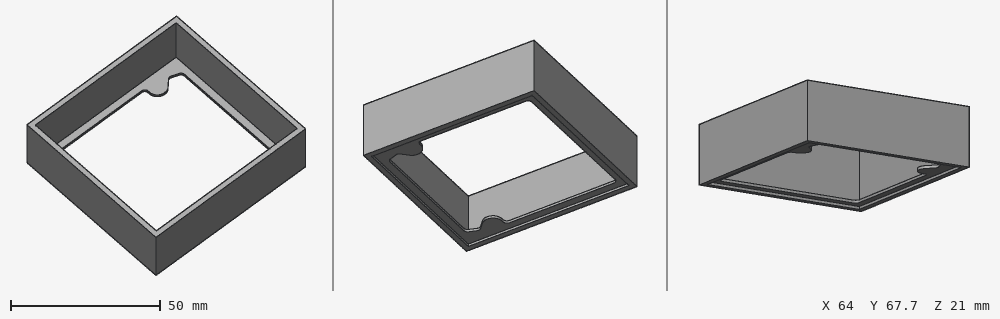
import cadquery as cq
import math

length_x = 64.05
length_y = 67.7
height = 21.0
wall = 2.0

plate_bottom = 1.0
plate_thickness = 1.0

opening_x = 54.7
opening_y = 58.1
corner_radius = 1.5

lobe_radius = 3.6
lobe_center_x = 25.2
lobe_center_y = 18.95

flank_angle = 45.0
end_half_width = 23.9
notch_half_width = 25.6


def make_frame():
    """Rectangular wall, open at the top and the bottom."""
    return (
        cq.Workplane("XY")
        .rect(length_x, length_y)
        .rect(length_x - 2 * wall, length_y - 2 * wall)
        .extrude(height)
    )


def make_plate():
    """Thin plate that fills the frame, raised above its bottom rim."""
    return (
        cq.Workplane("XY")
        .workplane(offset=plate_bottom)
        .rect(length_x - 2 * wall, length_y - 2 * wall)
        .extrude(plate_thickness)
    )


def make_opening():
    """Plate opening with two lobes, symmetric about the YZ plane."""
    half_x = opening_x / 2
    half_y = opening_y / 2
    angle = math.radians(flank_angle)
    flank_x = lobe_center_x - lobe_radius * math.cos(angle)
    flank_y = lobe_center_y + lobe_radius * math.sin(angle)
    notch_y = flank_y + (notch_half_width - flank_x) / math.tan(angle)
    lobe_bottom_y = lobe_center_y - lobe_radius
    lobe_tip_x = lobe_center_x - lobe_radius

    outline = (
        cq.Workplane("XY")
        .workplane(offset=plate_bottom)
        .moveTo(-half_x, -half_y)
        .lineTo(half_x, -half_y)
        .lineTo(half_x, lobe_bottom_y)
        .lineTo(lobe_center_x, lobe_bottom_y)
        .threePointArc((lobe_tip_x, lobe_center_y), (flank_x, flank_y))
        .lineTo(notch_half_width, notch_y)
        .lineTo(end_half_width, half_y)
        .lineTo(-end_half_width, half_y)
        .lineTo(-notch_half_width, notch_y)
        .lineTo(-flank_x, flank_y)
        .threePointArc((-lobe_tip_x, lobe_center_y), (-lobe_center_x, lobe_bottom_y))
        .lineTo(-half_x, lobe_bottom_y)
        .close()
    )
    opening = outline.extrude(plate_thickness)

    rounded_corners = [
        (half_x, -half_y),
        (half_x, lobe_bottom_y),
        (notch_half_width, notch_y),
        (end_half_width, half_y),
    ]
    for corner_x, corner_y in rounded_corners:
        for side in (-1, 1):
            corner = (side * corner_x, corner_y, plate_bottom + plate_thickness / 2)
            nearest = cq.selectors.NearestToPointSelector(corner)
            opening = opening.edges("|Z").edges(nearest).fillet(corner_radius)
    return opening


result = make_frame().union(make_plate().cut(make_opening()))